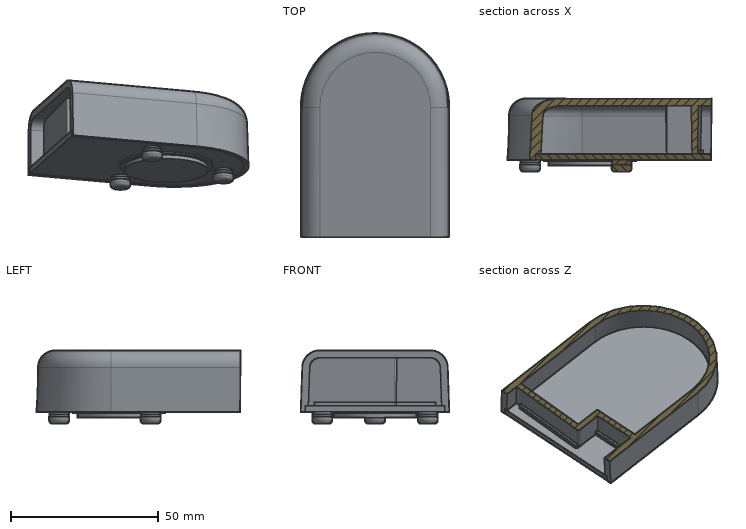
import cadquery as cq
import math

cover_height = 21.0
nose_radius = 25.25
total_length = 69.4
nose_center_y = total_length - nose_radius
side_draft = 2.0
front_lean = 0.2
cover_fillet = 6.0
wall = 2.6
cavity_fillet = cover_fillet - wall
front_overrun = 3.5

plate_radius = 23.7
plate_bottom = 0.15
plate_thickness = 2.0
plate_top = plate_bottom + plate_thickness
plate_edge_fillet = 0.3

step_x = 7.15
step_depth = 9.6
front_run_slope = 0.04
step_corner_y = 3.75
divider_thickness = 2.0
divider_draft = 1.0
step_corner_radius = 0.6

lip_height = 1.3
lip_width = 1.0
back_lip_gap = 0.2
lip_half_length = 20.6
lip_end_radius = 0.5

pad_center_y = 41.3
pad_radius = 14.15
pad_bottom = -1.8
flange_radius = 15.95
flange_rim_radius = 15.55
flange_bottom = -0.4

foot_count = 3
foot_circle_radius = 20.7
foot_circle_y = 40.95
screw_end_radius = 3.0
screw_belly_radius = 3.4
screw_shoulder = 0.7
screw_bottom = -1.6
foot_radius = 3.5
foot_bottom = -3.95
foot_fillet = 1.4


def d_outline(radius, front_y, z):
    """Straight-sided outline with a round back end, on the plane at height z."""
    return (
        cq.Workplane("XY", origin=(0, 0, z))
        .moveTo(-radius, front_y)
        .lineTo(radius, front_y)
        .lineTo(radius, nose_center_y)
        .threePointArc((0, nose_center_y + radius), (-radius, nose_center_y))
        .close()
    )


def round_top_edge(block, radius):
    """Round the top edge along the sides and the back; the straight front edge stays sharp."""
    return block.faces(">Z").edges("not <Y").fillet(radius)


def tapered_block(radius, height, top_fillet):
    """Drafted block on z = 0, rounded along its top edge, running past the front face."""
    block = d_outline(radius, -front_overrun, 0).extrude(height, taper=side_draft)
    return round_top_edge(block, top_fillet)


def plate_slab(front_y, bottom):
    """Block up to the top of the plate, rounded along its top edge."""
    slab = d_outline(plate_radius, front_y, bottom).extrude(plate_top - bottom)
    return round_top_edge(slab, plate_edge_fillet)


def front_run_y(x):
    """Front of the divider's skewed front run."""
    return step_corner_y + front_run_slope * (step_x - x)


def make_divider():
    """Stepped wall from the plate to the roof, with a rounded corner at the front of the step."""
    back_run_y = step_corner_y + step_depth
    step_rear_x = step_x - divider_thickness
    outline = cq.Wire.makePolygon(
        [
            cq.Vector(-nose_radius, front_run_y(-nose_radius), plate_top),
            cq.Vector(step_x, step_corner_y, plate_top),
            cq.Vector(step_x, back_run_y, plate_top),
            cq.Vector(nose_radius, back_run_y, plate_top),
            cq.Vector(nose_radius, back_run_y + divider_thickness, plate_top),
            cq.Vector(step_rear_x, back_run_y + divider_thickness, plate_top),
            cq.Vector(step_rear_x, front_run_y(step_rear_x) + divider_thickness, plate_top),
            cq.Vector(-nose_radius, front_run_y(-nose_radius) + divider_thickness, plate_top),
        ],
        close=True,
    )
    step_corner = cq.selectors.NearestToPointSelector((step_x, step_corner_y, plate_top))
    outline = outline.fillet2D(step_corner_radius, cq.Workplane(outline).vertices(step_corner).vals())
    height = cover_height - plate_top
    return cq.Workplane("XY").add(outline).toPending().extrude(height, taper=-divider_draft)


def lip_bar(start, end):
    """Bar on the plate whose front runs from start to end."""
    return (
        cq.Workplane("XY", origin=(0, 0, plate_top))
        .polyline([start, end, (end[0], end[1] + lip_width), (start[0], start[1] + lip_width)])
        .close()
        .extrude(lip_height)
    )


def round_upright_edge(bar, point, radius):
    x, y = point
    near_edge = cq.selectors.NearestToPointSelector((x, y, plate_top + lip_height / 2))
    return bar.edges(near_edge).fillet(radius)


def make_lip_bars():
    """Front and back bars, fitted against the divider."""
    front_left = (-lip_half_length, front_run_y(-lip_half_length) - lip_width)
    front_right = (step_x, step_corner_y - lip_width)
    front_bar = lip_bar(front_left, front_right)
    front_bar = round_upright_edge(front_bar, front_left, lip_end_radius)
    front_bar = round_upright_edge(front_bar, front_right, step_corner_radius)

    back_y = step_corner_y + step_depth - back_lip_gap - lip_width
    back_right = (lip_half_length, back_y)
    back_bar = lip_bar((step_x - lip_width, back_y), back_right)
    back_bar = round_upright_edge(back_bar, back_right, lip_end_radius)

    divider = make_divider()
    return front_bar.cut(divider), back_bar.cut(divider)


def front_waste():
    """Everything in front of the leaning front face."""
    waste_front_y = -2 * front_overrun
    return (
        cq.Workplane("YZ")
        .polyline([
            (waste_front_y, 0),
            (front_lean, 0),
            (0, cover_height),
            (waste_front_y, cover_height),
        ])
        .close()
        .extrude(nose_radius, both=True)
    )


def make_cover():
    outside = tapered_block(nose_radius, cover_height, cover_fillet)
    cavity = tapered_block(nose_radius - wall, cover_height - wall, cavity_fillet)
    plate_recess = plate_slab(-front_overrun, 0)
    shell = outside.cut(cavity.cut(make_divider())).cut(plate_recess)
    return shell.cut(front_waste())


def make_base():
    front_bar, back_bar = make_lip_bars()
    return plate_slab(front_lean, plate_bottom).union(front_bar).union(back_bar)


def make_pad():
    return (
        cq.Workplane("XZ", origin=(0, pad_center_y, 0))
        .polyline([
            (0, plate_bottom),
            (flange_radius, plate_bottom),
            (flange_rim_radius, flange_bottom),
            (pad_radius, flange_bottom),
            (pad_radius, pad_bottom),
            (0, pad_bottom),
        ])
        .close()
        .revolve(360, (0, 0), (0, 1))
    )


def make_screw(x, y):
    """Screw head hanging from the plate, with two round faces that meet at its belly."""
    belly_z = (plate_bottom + screw_bottom) / 2
    shoulder_radius = screw_end_radius + screw_shoulder * (screw_belly_radius - screw_end_radius)
    return (
        cq.Workplane("XZ", origin=(x, y, 0))
        .moveTo(0, plate_bottom)
        .lineTo(screw_end_radius, plate_bottom)
        .threePointArc((shoulder_radius, (plate_bottom + belly_z) / 2), (screw_belly_radius, belly_z))
        .threePointArc((shoulder_radius, (screw_bottom + belly_z) / 2), (screw_end_radius, screw_bottom))
        .lineTo(0, screw_bottom)
        .close()
        .revolve(360, (0, 0), (0, 1))
    )


def make_foot(x, y):
    """Round foot under a screw head."""
    height = screw_bottom - foot_bottom
    foot = cq.Workplane("XY", origin=(x, y, foot_bottom)).circle(foot_radius).extrude(height)
    return foot.faces("<Z").edges().fillet(foot_fillet)


cover = make_cover()
base = make_base()
pad = make_pad()
screws = []
feet = []
for i in range(foot_count):
    angle = math.radians(90 + i * 360 / foot_count)
    foot_x = foot_circle_radius * math.cos(angle)
    foot_y = foot_circle_y + foot_circle_radius * math.sin(angle)
    screws.append(make_screw(foot_x, foot_y).val())
    feet.append(make_foot(foot_x, foot_y).val())

result = cq.Compound.makeCompound([cover.val(), base.val(), pad.val(), *screws, *feet])